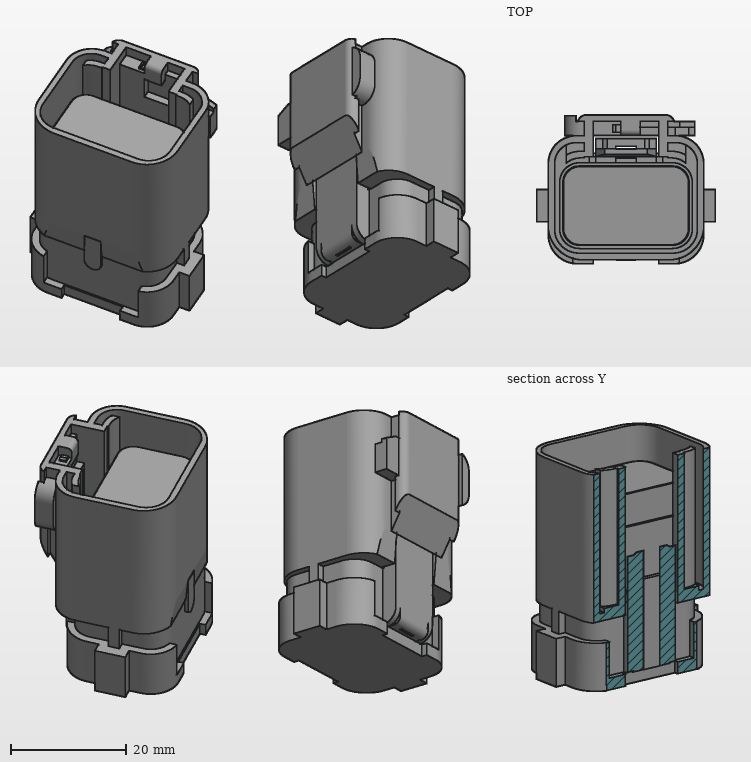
import cadquery as cq

HEIGHT = 40.0
SHROUD_BOTTOM = 12.9
COLLAR_TOP = 8.8
LIP_TOP = 2.25
GROOVE_FLOOR = 14.4
CORE_TOP = 33.9

SHROUD_HALF_X = 13.5
SHROUD_FRONT = -9.4
SHROUD_BACK = 12.15
SHROUD_FRONT_RADIUS = 6.0
SHROUD_BACK_RADIUS = 4.9
CAVITY_HALF_X = 12.4
CAVITY_FRONT = -8.25
CAVITY_BACK = 10.9
CAVITY_FRONT_RADIUS = 4.2
CAVITY_BACK_RADIUS = 3.7
FRONT_BEVEL_TOP = 17.05
FRONT_BEVEL_DEPTH = 0.35
BACK_BEVEL_TOP = 18.4
BACK_BEVEL_DEPTH = 0.5

CORE_HALF_X = 11.5
CORE_HALF_Y = 7.45
CORE_RADIUS = 3.45
CORE_STEP_INSET = 0.55
CORE_STEP_Z = 28.0
CORE_EDGE_CHAMFER = 0.1

NECK_HALF_X = 12.1
NECK_HALF_Y = 8.8
NECK_RADIUS = 3.85
COLLAR_HALF_Y = 10.1
COLLAR_RADIUS = 5.15
COLLAR_WINDOW_HALF_X = 9.2
LIP_NOTCH_HALF_X = 5.7
LIP_NOTCH_FACE_Y = 9.1
LUG_SPAN_X = 31.0
LUG_HALF_Y = 2.8
SIDE_RIB_HALF_Y = 1.0
FRONT_RIB_HALF_X = 1.6
FRONT_RIB_BOTTOM = 9.35
FRONT_RIB_FACE_Y = -9.45

HOUSING_BACK = 15.75
HOUSING_HALF_X = 8.45
HOUSING_RADIUS = 1.6
HOUSING_INNER_BACK = 14.65
HOUSING_LOWER_FACE_Y = 13.9
HOUSING_SLOPE_TOP = 24.5
LEG_INNER_X = 5.7
LEG_OUTER_X = 7.25
LEG_FRONT = 8.5
SHELF_TOP = 38.0
SHELF_RIGHT_FACE_Y = 13.55
LEDGE_TOP = 32.1
CATCH_LEFT = -0.9
CATCH_RIGHT = 2.45
CATCH_BOTTOM = 36.5
CATCH_RADIUS = 0.9
PEG_LEFT = -2.3
PEG_BREAK_X = -1.75
PEG_FRONT = 12.75
PEG_BACK = 14.0
PEG_EDGE_HEIGHT = 0.3
PEG_HEIGHT = 0.5

GUIDE_CENTER_X = 7.9
GUIDE_CENTER_Y = 4.4
GUIDE_INNER_RADIUS = 3.9
GUIDE_OUTER_RADIUS = 5.05
GUIDE_END_X = 10.4
GUIDE_POCKET_RISE = 0.8

HOOK_BOTTOM = 27.9
HOOK_TOP = 37.9
HOOK_OUTER_X = -10.65
HOOK_RADIUS = 2.9
HOOK_BACK = 15.6
HOOK_LIP_X = -8.65
TAB_OUTER_X = 11.95
TAB_SPLIT_Y = 13.55
TAB_FRONT_HIGH = 34.4
TAB_BACK_HIGH = 35.0
TAB_RAMP_DROP = 1.2
TAB_FRONT_RAMP_X = (8.55, 10.9)
TAB_BACK_RAMP_START_X = 9.3

ARM_HALF_X = 5.3
ARM_BACK = 11.7
ARM_TOP = 24.0
ARM_SHOULDER_DROP = 0.4
ARM_SHOULDER_HALF_X = 4.0
ARM_PLATEAU_HALF_X = 3.3
ARM_FRONT = 9.85
ARM_SLOT_HALF_X = 1.75
ARM_SLOT_WIDTH = 0.45
ARM_TOE_RADIUS = 1.45
ARM_SIDE_TOE_RADIUS = 2.8
SLIT_FRONT = 9.1
WEDGE_TOP = 18.8
WEDGE_TOP_HALF_X = 3.7
WEDGE_TOP_FRONT = 8.9
ROOT_RISE = 0.8
ROOT_PAD_HALF_X = 6.4
ROOT_PAD_RISE = 0.4
ROOT_NOTCH_BACK = 8.25


def box(x0, x1, y0, y1, z0, z1):
    """Axis-aligned block between the given limits."""
    return cq.Workplane("XY").box(x1 - x0, y1 - y0, z1 - z0, centered=False).translate((x0, y0, z0))


def rounded_block(half_x, y0, y1, front_radius, back_radius, z0, z1):
    """Upright block centred on X with separate corner radii at the front and the back."""
    block = box(-half_x, half_x, y0, y1, z0, z1)
    block = block.edges("|Z and <Y").fillet(front_radius)
    return block.edges("|Z and >Y").fillet(back_radius)


def prism_along_x(points_yz, x0, x1):
    """Extrude a (y, z) outline along X."""
    return cq.Workplane("YZ").polyline(points_yz).close().extrude(x1 - x0).translate((x0, 0, 0))


def prism_along_y(points_xz, y0, y1):
    """Extrude an (x, z) outline along Y."""
    return cq.Workplane("XZ").polyline(points_xz).close().extrude(y0 - y1).translate((0, y0, 0))


def make_shroud():
    """Open-topped sleeve with bevelled lower edges at the front and the back."""
    shroud = rounded_block(
        SHROUD_HALF_X, SHROUD_FRONT, SHROUD_BACK, SHROUD_FRONT_RADIUS, SHROUD_BACK_RADIUS,
        SHROUD_BOTTOM, HEIGHT,
    )
    cavity = rounded_block(
        CAVITY_HALF_X, CAVITY_FRONT, CAVITY_BACK, CAVITY_FRONT_RADIUS, CAVITY_BACK_RADIUS,
        GROOVE_FLOOR, HEIGHT,
    )
    front_bevel = prism_along_x(
        [
            (SHROUD_FRONT, FRONT_BEVEL_TOP),
            (SHROUD_FRONT, SHROUD_BOTTOM),
            (SHROUD_FRONT + FRONT_BEVEL_DEPTH, SHROUD_BOTTOM),
        ],
        -SHROUD_HALF_X, SHROUD_HALF_X,
    )
    back_bevel = prism_along_x(
        [
            (SHROUD_BACK, BACK_BEVEL_TOP),
            (SHROUD_BACK, SHROUD_BOTTOM),
            (SHROUD_BACK - BACK_BEVEL_DEPTH, SHROUD_BOTTOM),
        ],
        -SHROUD_HALF_X, SHROUD_HALF_X,
    )
    return shroud.cut(cavity).cut(front_bevel).cut(back_bevel)


def make_core():
    """Stepped core: a wide lower tier and a slightly smaller upper tier."""
    def tier(inset, bottom, top):
        half_y = CORE_HALF_Y - inset
        radius = CORE_RADIUS - inset
        return rounded_block(CORE_HALF_X - inset, -half_y, half_y, radius, radius, bottom, top)

    lower_tier = tier(0, GROOVE_FLOOR, CORE_STEP_Z)
    upper_tier = tier(CORE_STEP_INSET, CORE_STEP_Z, CORE_TOP)
    return lower_tier.union(upper_tier.faces(">Z").chamfer(CORE_EDGE_CHAMFER))


def make_base():
    """Neck and collar, with the collar opened at the front and the back, plus lugs and ribs."""
    collar = rounded_block(
        SHROUD_HALF_X, -COLLAR_HALF_Y, COLLAR_HALF_Y, COLLAR_RADIUS, COLLAR_RADIUS, 0, COLLAR_TOP
    )
    for side in (-1, 1):
        window_y = sorted((side * (NECK_HALF_Y - NECK_RADIUS), side * HOUSING_BACK))
        notch_y = sorted((side * LIP_NOTCH_FACE_Y, side * HOUSING_BACK))
        collar = collar.cut(box(-COLLAR_WINDOW_HALF_X, COLLAR_WINDOW_HALF_X, *window_y, LIP_TOP, COLLAR_TOP))
        collar = collar.cut(box(-LIP_NOTCH_HALF_X, LIP_NOTCH_HALF_X, *notch_y, 0, LIP_TOP))
    neck = rounded_block(
        NECK_HALF_X, -NECK_HALF_Y, NECK_HALF_Y, NECK_RADIUS, NECK_RADIUS, 0, GROOVE_FLOOR
    )
    lugs = box(-LUG_SPAN_X / 2, LUG_SPAN_X / 2, -LUG_HALF_Y, LUG_HALF_Y, 0, COLLAR_TOP)
    side_ribs = box(
        -SHROUD_HALF_X, SHROUD_HALF_X, -SIDE_RIB_HALF_Y, SIDE_RIB_HALF_Y, COLLAR_TOP, SHROUD_BOTTOM
    )
    front_rib = box(
        -FRONT_RIB_HALF_X, FRONT_RIB_HALF_X, FRONT_RIB_FACE_Y, -NECK_HALF_Y,
        FRONT_RIB_BOTTOM + FRONT_RIB_HALF_X, FRONT_BEVEL_TOP,
    )
    rib_end = cq.Workplane("XZ", origin=(0, FRONT_RIB_FACE_Y, FRONT_RIB_BOTTOM + FRONT_RIB_HALF_X))
    rib_end = rib_end.circle(FRONT_RIB_HALF_X).extrude(NECK_HALF_Y + FRONT_RIB_FACE_Y)
    rib = front_rib.union(rib_end)
    return collar.union(neck).union(lugs).union(side_ribs).union(rib)


def make_housing():
    """Legs, back plate, inner shelves and ledge of the latch housing."""
    plate = box(-HOUSING_HALF_X, HOUSING_HALF_X, HOUSING_LOWER_FACE_Y, HOUSING_BACK, BACK_BEVEL_TOP, HEIGHT)
    plate = plate.edges("|Z and >Y").fillet(HOUSING_RADIUS)
    plate = plate.cut(
        box(-HOUSING_HALF_X, HOUSING_HALF_X, HOUSING_LOWER_FACE_Y, HOUSING_INNER_BACK, HOOK_BOTTOM, HEIGHT)
    )
    housing = plate
    for leg_x in ((-LEG_OUTER_X, -LEG_INNER_X), (LEG_INNER_X, LEG_OUTER_X)):
        housing = housing.union(box(*leg_x, SHROUD_BACK, HOUSING_INNER_BACK, BACK_BEVEL_TOP, HEIGHT))
    housing = housing.union(
        box(-LEG_INNER_X, CATCH_LEFT, SHROUD_BACK, HOUSING_INNER_BACK, BACK_BEVEL_TOP, SHELF_TOP)
    )
    housing = housing.union(
        box(CATCH_LEFT, LEG_INNER_X, SHELF_RIGHT_FACE_Y, HOUSING_INNER_BACK, BACK_BEVEL_TOP, SHELF_TOP)
    )
    housing = housing.union(
        box(CATCH_LEFT, LEG_INNER_X, SHROUD_BACK, SHELF_RIGHT_FACE_Y, BACK_BEVEL_TOP, LEDGE_TOP)
    )
    underside = prism_along_x(
        [(SHROUD_BACK, BACK_BEVEL_TOP), (HOUSING_BACK, HOUSING_SLOPE_TOP), (HOUSING_BACK, BACK_BEVEL_TOP)],
        -HOUSING_HALF_X, HOUSING_HALF_X,
    )
    return housing.cut(underside)


def make_catch():
    """Rounded catch hanging over the latch opening, with the small peg beside it."""
    catch = box(CATCH_LEFT, CATCH_RIGHT, SHROUD_BACK, HOUSING_INNER_BACK, CATCH_BOTTOM, HEIGHT)
    catch = catch.edges("|X and <Y and >Z").fillet(CATCH_RADIUS)
    peg = prism_along_y(
        [
            (PEG_LEFT, SHELF_TOP),
            (PEG_LEFT, SHELF_TOP + PEG_EDGE_HEIGHT),
            (PEG_BREAK_X, SHELF_TOP + PEG_HEIGHT),
            (CATCH_LEFT, SHELF_TOP + PEG_EDGE_HEIGHT),
            (CATCH_LEFT, SHELF_TOP),
        ],
        PEG_FRONT, PEG_BACK,
    )
    return catch.union(peg)


def make_guides():
    """Inner legs with the curved walls that follow the core corners, on both sides."""
    ring = cq.Workplane("XY", origin=(GUIDE_CENTER_X, GUIDE_CENTER_Y, GROOVE_FLOOR))
    ring = ring.circle(GUIDE_OUTER_RADIUS).circle(GUIDE_INNER_RADIUS).extrude(HEIGHT - GROOVE_FLOOR)
    curved = ring.intersect(
        box(GUIDE_CENTER_X, GUIDE_END_X, GUIDE_CENTER_Y, SHROUD_BACK, GROOVE_FLOOR, HEIGHT)
    )
    straight = box(
        LEG_OUTER_X, GUIDE_CENTER_X, GUIDE_CENTER_Y + GUIDE_INNER_RADIUS,
        GUIDE_CENTER_Y + GUIDE_OUTER_RADIUS, GROOVE_FLOOR, HEIGHT,
    )
    leg = box(LEG_INNER_X, LEG_OUTER_X, LEG_FRONT, SHROUD_BACK - BACK_BEVEL_DEPTH, GROOVE_FLOOR, HEIGHT)
    pocket_floor = box(
        LEG_OUTER_X, GUIDE_END_X, GUIDE_CENTER_Y + GUIDE_INNER_RADIUS, CAVITY_BACK,
        GROOVE_FLOOR, GROOVE_FLOOR + GUIDE_POCKET_RISE,
    )
    guide = curved.union(straight).union(leg).union(pocket_floor)
    return guide.union(guide.mirror("YZ"))


def make_hook():
    """Rounded hook on the -X side with a lip at its back."""
    hook = box(HOOK_OUTER_X, -LEG_OUTER_X, SHROUD_BACK, HOOK_BACK, HOOK_BOTTOM, HOOK_TOP)
    hook = hook.edges("|Y and <X").fillet(HOOK_RADIUS)
    return hook.cut(box(HOOK_LIP_X, -LEG_OUTER_X, HOUSING_INNER_BACK, HOOK_BACK, HOOK_BOTTOM, HOOK_TOP))


def make_tab():
    """Two-row tab with ramped tops on the +X side."""
    row_bottom = [(TAB_OUTER_X, HOOK_BOTTOM), (LEG_OUTER_X, HOOK_BOTTOM)]
    ramp_start, ramp_end = TAB_FRONT_RAMP_X
    front_low = TAB_FRONT_HIGH - TAB_RAMP_DROP
    front_top = [
        (LEG_OUTER_X, TAB_FRONT_HIGH),
        (ramp_start, TAB_FRONT_HIGH),
        (ramp_end, front_low),
        (TAB_OUTER_X, front_low),
    ]
    back_top = [
        (LEG_OUTER_X, TAB_BACK_HIGH),
        (TAB_BACK_RAMP_START_X, TAB_BACK_HIGH),
        (TAB_OUTER_X, TAB_BACK_HIGH - TAB_RAMP_DROP),
    ]
    front_row = prism_along_y(front_top + row_bottom, SHROUD_BACK, TAB_SPLIT_Y)
    back_row = prism_along_y(back_top + row_bottom, TAB_SPLIT_Y, HOUSING_INNER_BACK)
    return front_row.union(back_row)


def make_slit():
    """Opening between the housing legs that frees the latch arm."""
    return box(-LEG_INNER_X, LEG_INNER_X, SLIT_FRONT, SHROUD_BACK, SHROUD_BOTTOM, HEIGHT)


def make_arm():
    """Latch arm with a stepped top, a rounded toe and a through slot."""
    shoulder_z = ARM_TOP - ARM_SHOULDER_DROP

    def bar(half_x, toe_radius):
        y_front = NECK_HALF_Y - 0.4
        lower = box(-half_x, half_x, y_front, ARM_BACK, LIP_TOP, GROOVE_FLOOR)
        lower = lower.edges("|X and >Y and <Z").fillet(toe_radius)
        return lower.union(box(-half_x, half_x, ARM_FRONT, ARM_BACK, GROOVE_FLOOR, shoulder_z))

    plateau = prism_along_y(
        [
            (-ARM_SHOULDER_HALF_X, shoulder_z),
            (-ARM_PLATEAU_HALF_X, ARM_TOP),
            (ARM_PLATEAU_HALF_X, ARM_TOP),
            (ARM_SHOULDER_HALF_X, shoulder_z),
        ],
        ARM_FRONT, ARM_BACK,
    )
    slot = box(-ARM_SLOT_HALF_X, ARM_SLOT_HALF_X, ARM_FRONT, ARM_FRONT + ARM_SLOT_WIDTH, 0, HEIGHT)
    arm = bar(ARM_HALF_X, ARM_SIDE_TOE_RADIUS).union(bar(ARM_SHOULDER_HALF_X, ARM_TOE_RADIUS))
    return arm.union(plateau).union(make_arm_root()).cut(slot)


def make_arm_root():
    """Raised pads on the groove floor that carry the arm, topped by a wedge."""
    pad_top = GROOVE_FLOOR + ROOT_PAD_RISE
    root_top = GROOVE_FLOOR + ROOT_RISE
    pad = box(-ROOT_PAD_HALF_X, ROOT_PAD_HALF_X, CORE_HALF_Y, LEG_FRONT, GROOVE_FLOOR, pad_top)
    root = box(-ARM_HALF_X, ARM_HALF_X, CORE_HALF_Y, ARM_FRONT, GROOVE_FLOOR, root_top)
    notch = box(-ARM_SLOT_HALF_X, ARM_SLOT_HALF_X, CORE_HALF_Y, ROOT_NOTCH_BACK, pad_top, root_top)
    wedge = (
        cq.Workplane("XY", origin=(0, (LEG_FRONT + ARM_FRONT) / 2, root_top))
        .rect(2 * ARM_HALF_X, ARM_FRONT - LEG_FRONT)
        .workplane(offset=WEDGE_TOP - root_top)
        .center(0, (WEDGE_TOP_FRONT - LEG_FRONT) / 2)
        .rect(2 * WEDGE_TOP_HALF_X, ARM_FRONT - WEDGE_TOP_FRONT)
        .loft()
    )
    return pad.union(root).cut(notch).union(wedge)


result = (
    make_shroud()
    .union(make_guides())
    .cut(make_slit())
    .union(make_base())
    .union(make_core())
    .union(make_housing())
    .union(make_catch())
    .union(make_hook())
    .union(make_tab())
    .union(make_arm())
)